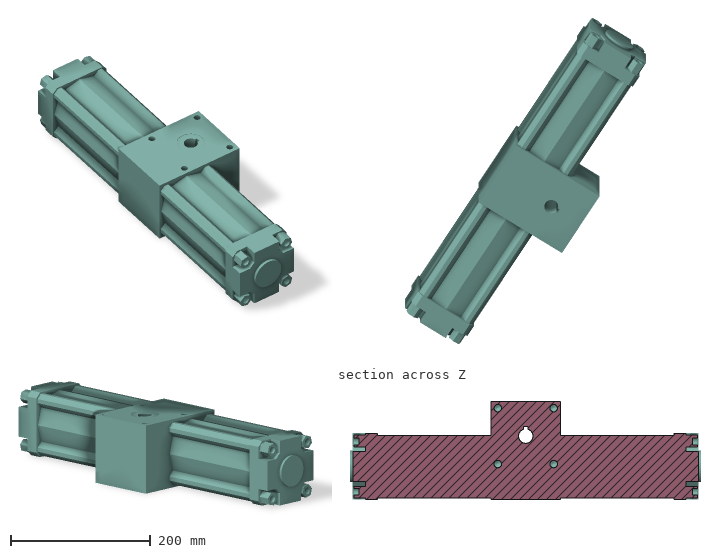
import cadquery as cq
import math

TOTAL_LENGTH = 502.0
HOUSING_LENGTH = 100.5
HOUSING_DEPTH = 141.0
HOUSING_HEIGHT = 100.0

CAP_SIDE = 95.0
CAP_THICKNESS = 35.5
CAP_CHAMFER = 7.5
BOSS_DIAMETER = 45.0
BOSS_HEIGHT = 4.0
CAP_FACE_X = TOTAL_LENGTH / 2 - BOSS_HEIGHT
AXIS_Y = CAP_SIDE / 2 - HOUSING_DEPTH / 2

POCKET_SIDE = 25.5
POCKET_DEPTH = 17.5
POCKET_CHAMFER = 7.5
NUT_INSET = 11.5
NUT_ACROSS_FLATS = 17.0
NUT_LENGTH = 16.5
NUT_HOLE_DIAMETER = 10.0
NUT_HOLE_DEPTH = 7.5

BARREL_SIDE = 90.5
RIB_CHAMFER = 6.5
RIB_FLAT = 6.0
RIB_FLANK = 7.5
RIDGE_SLOPE = 15.0

SHAFT_Y = 20.5
SHAFT_DIAMETER = 40.0
SHAFT_RECESS = 0.5
BORE_DIAMETER = 20.0
KEYWAY_WIDTH = 6.0
KEYWAY_REACH = 13.0
MOUNT_SPACING = 80.0
MOUNT_DIAMETER = 10.0
MOUNT_DEPTH = 20.0
DRILL_POINT_ANGLE = 118.0


def make_housing(block):
    """Housing block with a keyed through bore, a shallow shaft recess and mounting holes."""
    top = cq.Workplane("XY", origin=(0, SHAFT_Y, HOUSING_HEIGHT / 2))
    recess = top.circle(SHAFT_DIAMETER / 2).extrude(-SHAFT_RECESS)
    bore = top.circle(BORE_DIAMETER / 2).extrude(-HOUSING_HEIGHT)
    keyway = (
        top.center(0, KEYWAY_REACH / 2)
        .rect(KEYWAY_WIDTH, KEYWAY_REACH)
        .extrude(-HOUSING_HEIGHT)
    )
    return block.cut(recess).cut(bore).cut(keyway).cut(make_mount_holes())


def make_mount_holes():
    """Blind drilled holes on a square centred on the output shaft."""
    radius = MOUNT_DIAMETER / 2
    point_depth = radius / math.tan(math.radians(DRILL_POINT_ANGLE / 2))
    drill = (
        cq.Workplane("XZ")
        .polyline([(0, 0), (radius, 0), (radius, -MOUNT_DEPTH), (0, -MOUNT_DEPTH - point_depth)])
        .close()
        .revolve(360, (0, 0, 0), (0, 1, 0))
        .val()
    )
    return (
        cq.Workplane("XY", origin=(0, SHAFT_Y, HOUSING_HEIGHT / 2))
        .rect(MOUNT_SPACING, MOUNT_SPACING, forConstruction=True)
        .vertices()
        .eachpoint(lambda place: drill.moved(place), combine=False)
    )


def make_barrel():
    """Ribbed profile bar running between the two end caps."""
    half = BARREL_SIDE / 2
    rib_inner = half - RIB_CHAMFER - RIB_FLAT
    valley = rib_inner - RIB_FLANK
    valley_height = half - RIB_FLANK
    ridge_height = valley_height + valley * math.tan(math.radians(RIDGE_SLOPE))
    side = [
        (half - RIB_CHAMFER, half),
        (rib_inner, half),
        (valley, valley_height),
        (0, ridge_height),
        (-valley, valley_height),
        (-rib_inner, half),
        (RIB_CHAMFER - half, half),
    ]
    outline = []
    for _ in range(4):
        outline += side
        side = [(-v, u) for u, v in side]
    length = 2 * (CAP_FACE_X - CAP_THICKNESS)
    return (
        cq.Workplane("YZ", origin=(-length / 2, AXIS_Y, 0))
        .polyline(outline)
        .close()
        .extrude(length)
    )


def make_nut():
    """Hexagonal nut standing on the pocket floor, one corner toward the cap corner."""
    across_corners = NUT_ACROSS_FLATS / math.cos(math.radians(30))
    offset = CAP_SIDE / 2 - NUT_INSET
    nut = (
        cq.Workplane("YZ")
        .transformed(rotate=(0, 0, 45))
        .polygon(6, across_corners)
        .extrude(NUT_LENGTH)
        .faces(">X")
        .workplane()
        .hole(NUT_HOLE_DIAMETER, NUT_HOLE_DEPTH)
    )
    return nut.translate((CAP_FACE_X - POCKET_DEPTH, AXIS_Y + offset, offset))


def make_pocket():
    """Corner cut-out with a bevelled inner corner, used as a cutting tool."""
    corner = CAP_SIDE / 2
    inner = corner - POCKET_SIDE
    return (
        cq.Workplane("YZ", origin=(CAP_FACE_X, AXIS_Y, 0))
        .moveTo(corner, corner)
        .lineTo(inner, corner)
        .lineTo(inner, inner + POCKET_CHAMFER)
        .lineTo(inner + POCKET_CHAMFER, inner)
        .lineTo(corner, inner)
        .close()
        .extrude(-POCKET_DEPTH)
    )


def at_four_corners(shape):
    """Yield copies of a corner feature turned about the barrel axis."""
    for turn in range(4):
        yield shape.rotate((0, AXIS_Y, 0), (1, AXIS_Y, 0), 90 * turn)


def make_cap():
    """End cap on the +X end."""
    face = cq.Workplane("YZ", origin=(CAP_FACE_X, AXIS_Y, 0))
    cap = face.rect(CAP_SIDE, CAP_SIDE).extrude(-CAP_THICKNESS)
    cap = cap.edges("|X").chamfer(CAP_CHAMFER)
    cap = cap.union(face.circle(BOSS_DIAMETER / 2).extrude(BOSS_HEIGHT))
    for pocket in at_four_corners(make_pocket()):
        cap = cap.cut(pocket)
    for nut in at_four_corners(make_nut()):
        cap = cap.union(nut)
    return cap


housing_block = cq.Workplane("XY").box(HOUSING_LENGTH, HOUSING_DEPTH, HOUSING_HEIGHT)
housing = make_housing(housing_block)
barrels = make_barrel().cut(housing_block)
right_cap = make_cap()
left_cap = right_cap.mirror("YZ")
result = housing.union(barrels).union(right_cap).union(left_cap)